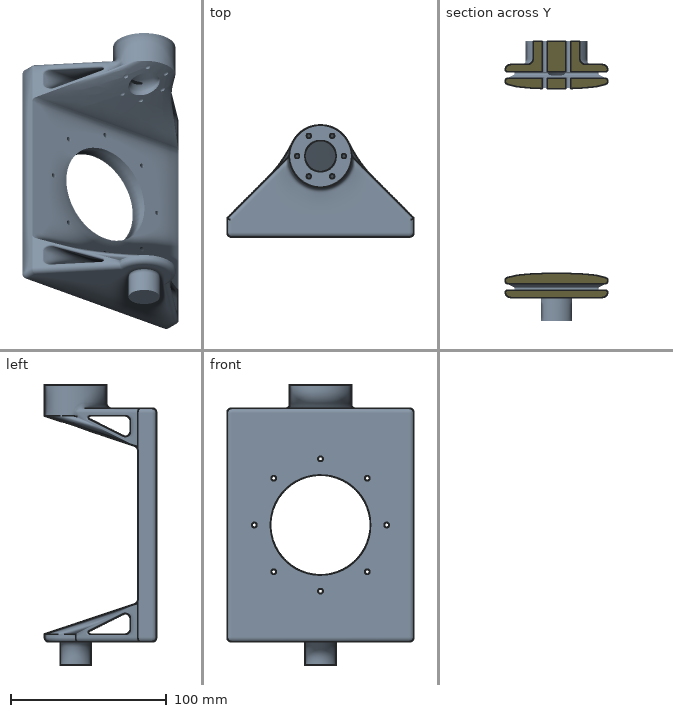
import cadquery as cq
import math

width = 120
height = 150
plate_thickness = 12
edge_radius = 3
opening_diameter = 64
screw_diameter = 3
plate_screw_count = 8
plate_screw_circle = 85

tip_radius = 20
tip_y = plate_thickness + width / 2 - tip_radius
web_thickness = 5
gusset_depth = 25
root_radius = 3

window_wall = 5
window_rim = 2.3
window_radius = 3
window_tip_radius = 1
window_edge_radius = 1

boss_height = 15
boss_bore_diameter = 20
boss_fillet = 3
boss_screw_count = 6
boss_screw_circle = 30
pin_diameter = 20
pin_length = 15

half_width = width / 2
half_height = height / 2
web_z = half_height - web_thickness
root_z = half_height - gusset_depth


def make_plate():
    """Plain rectangular back plate, with its outer face on y = 0."""
    return cq.Workplane("XY").box(width, plate_thickness, height, centered=(True, False, True))


def make_web():
    """Flat upper web: 45 degree sides running into a round tip."""
    return (
        cq.Workplane("XY", origin=(0, 0, web_z))
        .moveTo(-half_width, plate_thickness)
        .lineTo(half_width, plate_thickness)
        .lineTo(tip_radius, tip_y)
        .threePointArc((0, tip_y + tip_radius), (-tip_radius, tip_y))
        .close()
        .extrude(web_thickness)
    )


def make_polygon_face(points):
    return cq.Face.makeFromWires(cq.Wire.makePolygon(points, close=True))


def make_gusset():
    """Solid below the upper web, closed by a ruled surface from the plate to the round tip."""
    back_left = cq.Vector(-half_width, plate_thickness, web_z)
    back_right = cq.Vector(half_width, plate_thickness, web_z)
    root_left = cq.Vector(-half_width, plate_thickness, root_z)
    root_right = cq.Vector(half_width, plate_thickness, root_z)
    tip_left = cq.Vector(-tip_radius, tip_y, web_z)
    tip_right = cq.Vector(tip_radius, tip_y, web_z)
    tip_end = cq.Vector(0, tip_y + tip_radius, web_z)

    tip_arc = cq.Edge.makeThreePointArc(tip_left, tip_end, tip_right)
    root_line = cq.Edge.makeLine(root_left, root_right)
    back_line = cq.Edge.makeLine(back_left, back_right)
    left_line = cq.Edge.makeLine(back_left, tip_left)
    right_line = cq.Edge.makeLine(tip_right, back_right)

    faces = [
        cq.Face.makeFromWires(cq.Wire.assembleEdges([left_line, tip_arc, right_line, back_line])),
        make_polygon_face([back_left, back_right, root_right, root_left]),
        make_polygon_face([back_left, root_left, tip_left]),
        make_polygon_face([back_right, root_right, tip_right]),
        cq.Face.makeRuledSurface(root_line, tip_arc),
    ]
    return cq.Workplane(obj=cq.Solid.makeSolid(cq.Shell.makeShell(faces)).fix())


def make_window():
    """Triangular bar along X that opens the upper gusset from side to side."""
    slope = (gusset_depth - web_thickness) / (tip_y - plate_thickness)
    near_y = plate_thickness + window_wall
    rim_height = window_rim * math.hypot(1, slope)
    floor_z = root_z + slope * window_wall + rim_height
    far_y = near_y + (web_z - floor_z) / slope
    bar = (
        cq.Workplane("YZ", origin=(-half_width, 0, 0))
        .polyline([(near_y, web_z), (near_y, floor_z), (far_y, web_z)])
        .close()
        .extrude(width)
    )
    bar = bar.edges("|X").edges("<Y").fillet(window_radius)
    return bar.edges("|X").edges(">Y").fillet(window_tip_radius)


def make_upper_arm():
    """Web and gusset with the window cut through and its outer rims rounded."""
    arm = make_web().union(make_gusset()).clean().cut(make_window())
    for side in (-1, 1):
        side_wall = arm.faces(cq.selectors.ParallelDirSelector(cq.Vector(side, 1, 0)))
        rim_edges = [edge for wire in side_wall.val().innerWires() for edge in wire.Edges()]
        arm = arm.newObject(rim_edges).fillet(window_edge_radius)
    return arm


def make_frame():
    """Plate with both arms, the arm roots and the outer edges rounded."""
    arm = make_upper_arm()
    frame = make_plate().union(arm).union(arm.mirror("XY")).clean()
    for z in (-root_z, root_z):
        root_edge = cq.NearestToPointSelector((0, plate_thickness, z))
        frame = frame.edges("|X").edges(root_edge).fillet(root_radius)
    return frame.faces("<Y or >Z or <Z").edges().fillet(edge_radius)


def add_boss(frame):
    """Round boss at the upper tip, reaching down through the web, with a fillet around its foot."""
    boss = (
        cq.Workplane("XY", origin=(0, tip_y, web_z))
        .circle(tip_radius)
        .extrude(web_thickness + boss_height)
    )
    foot_edge = cq.NearestToPointSelector((0, tip_y - tip_radius, half_height))
    return frame.union(boss).edges("%CIRCLE").edges(foot_edge).fillet(boss_fillet)


def make_pin():
    """Pivot pin hanging from the lower tip."""
    return (
        cq.Workplane("XY", origin=(0, tip_y, -half_height))
        .circle(pin_diameter / 2)
        .extrude(-pin_length)
    )


def make_hole_pattern(workplane, depth, bore_diameter, screw_count, screw_circle):
    """Cutter for a central bore with a ring of screw holes around it."""
    bore = workplane.circle(bore_diameter / 2).extrude(depth)
    screws = (
        workplane.polarArray(screw_circle / 2, 0, 360, screw_count)
        .circle(screw_diameter / 2)
        .extrude(depth)
    )
    return bore.union(screws)


plate_holes = make_hole_pattern(
    cq.Workplane("XZ"), -plate_thickness, opening_diameter, plate_screw_count, plate_screw_circle
)
boss_holes = make_hole_pattern(
    cq.Workplane("XY", origin=(0, tip_y, 0)),
    half_height + boss_height,
    boss_bore_diameter,
    boss_screw_count,
    boss_screw_circle,
)

result = add_boss(make_frame()).union(make_pin()).cut(plate_holes).cut(boss_holes)